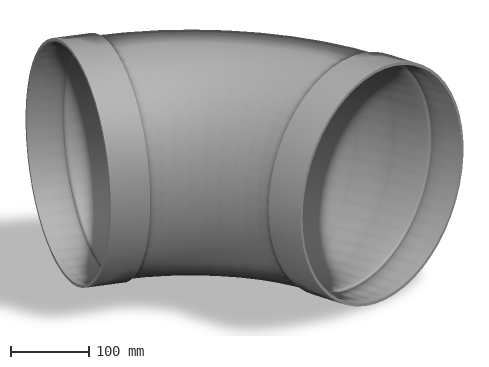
import cadquery as cq
import math

collar_outer_diameter = 323.0
pipe_outer_diameter = 315.0
wall_thickness = 4.0
collar_length = 54.0
bend_angle = 60
end_to_corner = 236.0

collar_outer_radius = collar_outer_diameter / 2
pipe_outer_radius = pipe_outer_diameter / 2
pipe_inner_radius = pipe_outer_radius - wall_thickness
bend_radius = (end_to_corner - collar_length) / math.tan(math.radians(bend_angle / 2))


def curved_pipe():
    """Pipe that leaves the origin towards +Y and turns towards +X."""
    return (
        cq.Workplane("XZ")
        .circle(pipe_outer_radius)
        .circle(pipe_inner_radius)
        .revolve(bend_angle, (bend_radius, 0, 0), (bend_radius, -1, 0))
    )


def collar():
    """Collar from the origin towards -Y, with the rounded pipe lip inside it."""
    lip_offset = wall_thickness * math.sqrt(0.5)
    return (
        cq.Workplane("XY")
        .moveTo(pipe_inner_radius, 0)
        .lineTo(collar_outer_radius, 0)
        .lineTo(collar_outer_radius, -collar_length)
        .lineTo(pipe_outer_radius, -collar_length)
        .lineTo(pipe_outer_radius, -wall_thickness)
        .threePointArc((pipe_outer_radius - lip_offset, -lip_offset), (pipe_inner_radius, 0))
        .close()
        .revolve(360, (0, 0, 0), (0, 1, 0))
    )


lower_collar = collar()
upper_collar = (
    collar()
    .mirror("XZ")
    .rotate((bend_radius, 0, 0), (bend_radius, 0, 1), -bend_angle)
)

result = curved_pipe().union(lower_collar).union(upper_collar)